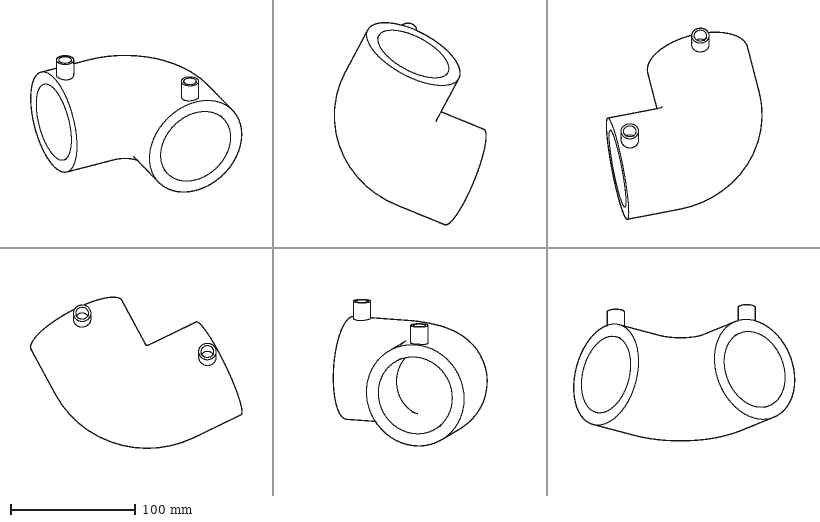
import cadquery as cq

overall_length = 126.5
overall_height = 97.0
pipe_diameter = 83.1
bore_diameter = 63.0
bend_radius = 42.0

terminal_diameter = 14.0
terminal_bore = 10.1
terminal_inset = 10.1

pipe_radius = pipe_diameter / 2
socket_length = overall_length - pipe_radius - bend_radius
mouth_distance = bend_radius + socket_length
terminal_top = overall_height - pipe_radius
terminal_distance = mouth_distance - terminal_inset

terminal_centres = [(0, -terminal_distance), (terminal_distance, 0)]


def elbow(diameter):
    """Solid round bar: two straight sockets joined by a quarter-turn bend."""
    radius = diameter / 2
    socket_y = cq.Workplane("XZ", origin=(0, -bend_radius, 0)).circle(radius).extrude(socket_length)
    socket_x = cq.Workplane("YZ", origin=(bend_radius, 0, 0)).circle(radius).extrude(socket_length)
    bend = (
        cq.Workplane("XZ", origin=(0, -bend_radius, 0))
        .circle(radius)
        .revolve(90, (bend_radius, 0, 0), (bend_radius, -1, 0))
    )
    return bend.union(socket_y).union(socket_x)


def terminals(diameter):
    """Vertical cylinders from the elbow mid-plane to the terminal tops."""
    return (
        cq.Workplane("XY")
        .pushPoints(terminal_centres)
        .circle(diameter / 2)
        .extrude(terminal_top)
    )


sleeves = terminals(terminal_diameter).cut(terminals(terminal_bore))
result = elbow(pipe_diameter).union(sleeves).cut(elbow(bore_diameter))